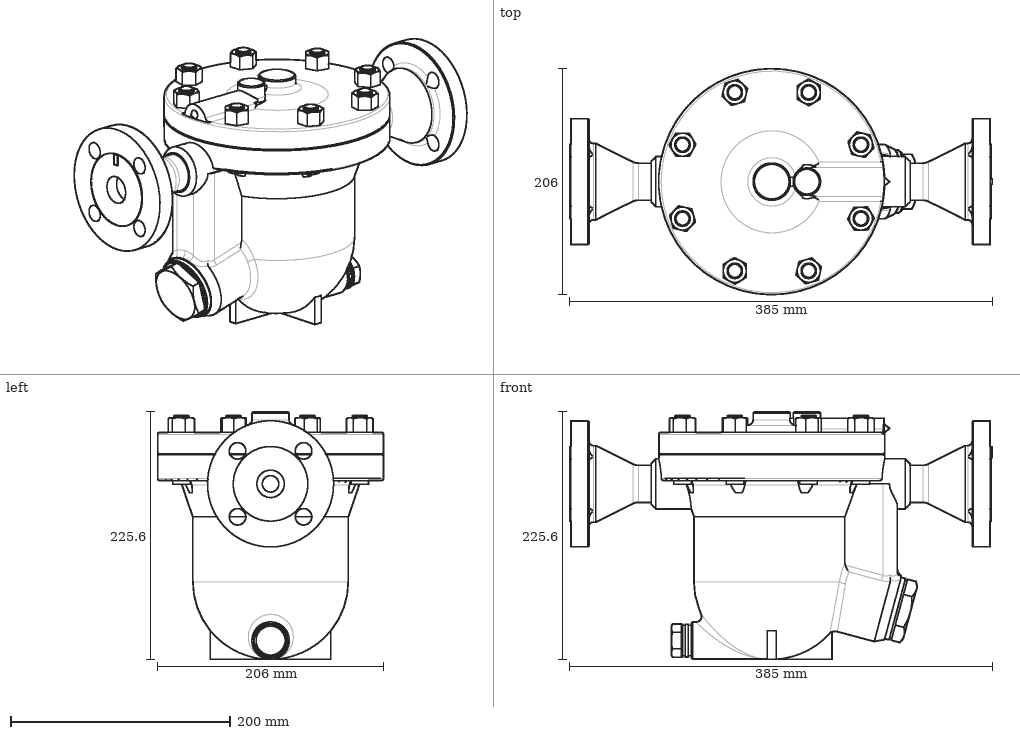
import cadquery as cq
import math


seam_tolerance = 0.001

cover_top_z = 47.0
joint_z = 27.0
flange_bottom_z = 3.0
body_bottom_z = -160.0
knob_top_z = 65.6

body_radius = 71.0
neck_radius = 81.0
neck_top_z = -1.0
neck_bottom_z = -30.0
neck_fillet = 4.0
dome_center_z = body_bottom_z + body_radius

flange_radius = 103.0
flange_edge_fillet = 2.0
gasket_radius = 102.0
gasket_thickness = 1.0

bolt_count = 8
bolt_circle_radius = 88.0
bolt_start_angle = 22.5
stud_radius = 7.0
stud_tail_radius = 8.0
stud_top_z = 62.6
stud_tail_z = -0.5
stud_chamfer = 1.0
nut_flats = 21.0
nut_height = 13.3
nut_turn = 24.0
spotface_radius = 10.0
spotface_bottom_z = -8.0

hill_base_radius = 46.5
hill_top_z = 53.5
knob_radius = 17.0
knob_fillet = 5.0
knob_chamfer = 1.2
plug_x = 32.0
plug_radius = 12.5
plug_fillet = 3.0
bridge_width = 8.0
bridge_top_z = 60.0
tube_radius = 14.0
tube_axis_z = 46.0
tube_fillet = 5.0
tube_end_x = 102.5
tip_radius = 4.0
tip_length = 5.0
tip_z = 50.5

port_mid_x = 8.0
face_to_face = 384.0
boss_radius = 23.0
boss_start = 50.0
boss_end = 118.0
boss_chamfer = 4.5
pipe_radius = 17.0
cone_start = 132.3
cone_blend = 2.7
cone_end = 168.3
hub_radius = 35.0
hub_fillet = 3.8
pipe_flange_radius = 57.5
pipe_flange_thickness = 16.5
pipe_flange_chamfer = 1.0
raised_face_radius = 34.0
raised_face_height = 1.0
pipe_bolt_circle = 85.0
pipe_bolt_hole = 15.0
pipe_bolt_clearance = 7.0
bore_radius = 12.5
bore_depth = 12.0
bore_taper = 8.0
seat_radius = 7.5
seat_depth = 40.0
mark_height = 10.0
mark_width = 5.0
mark_z = 29.0
mark_projection = 1.0

web_width = 49.0
web_end_x = 114.5
web_corner = 13.4
web_top_z = 0.0
web_bottom_z = -95.0
web_blend = 8.0

housing_tilt = 15.0
housing_end_x = 126.3
housing_end_z = -117.4
housing_radius = 34.0
housing_nose_radius = 30.0
housing_blend = 7.0
plug_hex_flats = 50.0
plug_hex_height = 10.3
plug_hex_face_radius = 24.75
plug_collar_radius = 29.0
plug_groove_radius = 27.5
plug_groove_depth = 12.3
nose_depth = 16.4
taper_depth = 25.0
housing_length = 110.0

drain_radius = 17.0
drain_z = -142.8
drain_boss_x = -72.0
drain_chamfer = 1.5
drain_inner_x = -5.0
drain_blend = 5.0
drain_neck_radius = 14.0
drain_collar_radius = 15.0
drain_collar_start_x = -79.0
drain_collar_end_x = -76.2
drain_washer_start_x = -81.0
drain_washer_end_x = -82.5
drain_hex_end_x = -91.5
drain_hex_flats = 26.5

foot_reach = 55.0
foot_thickness = 8.0
foot_top_z = -133.0


def disc(radius, z_low, z_high, x=0.0, y=0.0):
    return cq.Workplane("XY", origin=(x, y, z_low)).circle(radius).extrude(z_high - z_low)


def hexagon(plane, flats, length, end_radius):
    """Hexagonal prism whose far end is chamfered at 30 degrees from a circle."""
    corner = flats / math.sqrt(3)
    prism = cq.Workplane(plane).polygon(6, 2 * corner).extrude(length)
    drop = (corner - end_radius) * math.tan(math.radians(30))
    envelope = (
        cq.Workplane(plane)
        .circle(corner)
        .extrude(length)
        .faces(cq.selectors.DirectionMinMaxSelector(plane.zDir))
        .edges()
        .chamfer(drop, corner - end_radius)
    )
    return prism.intersect(envelope)


def revolve_about_z(points):
    """Revolve a closed (radius, height) outline about the local vertical axis."""
    return cq.Workplane("XZ").polyline(points).close().revolve(360, (0, 0, 0), (0, 1, 0))


def make_shell():
    """Dome, straight wall and conical neck, reaching up inside the body flange."""
    dome_mid = body_radius * math.sqrt(0.5)
    profile = (
        cq.Workplane("XZ")
        .moveTo(0, body_bottom_z)
        .threePointArc((dome_mid, dome_center_z - dome_mid), (body_radius, dome_center_z))
        .lineTo(body_radius, neck_bottom_z)
        .lineTo(neck_radius, neck_top_z)
        .threePointArc(
            (neck_radius + neck_fillet * 0.35, neck_top_z + neck_fillet * 0.65),
            (neck_radius + neck_fillet, flange_bottom_z),
        )
        .lineTo(neck_radius + neck_fillet, joint_z)
        .lineTo(0, joint_z)
        .close()
    )
    return profile.revolve(360, (0, 0, 0), (0, 1, 0))


def housing_plane():
    """Plane at the outer end of the housing plug, normal along the housing axis."""
    tilt = math.radians(housing_tilt)
    return cq.Plane(
        origin=(housing_end_x, 0, housing_end_z),
        xDir=(math.sin(tilt), 0, math.cos(tilt)),
        normal=(math.cos(tilt), 0, -math.sin(tilt)),
    )


def place_on_housing(part):
    return cq.Workplane(part.val().moved(cq.Location(housing_plane())))


def make_housing():
    outline = [
        (0, -housing_length),
        (housing_radius, -housing_length),
        (housing_radius, -taper_depth),
        (housing_nose_radius, -nose_depth),
        (0, -nose_depth),
    ]
    return place_on_housing(revolve_about_z(outline))


def make_housing_plug():
    groove = disc(plug_groove_radius, -plug_groove_depth, -plug_hex_height)
    collar = disc(plug_collar_radius, -nose_depth, -plug_groove_depth)
    hex_plane = cq.Plane(origin=(0, 0, -plug_hex_height))
    head = hexagon(hex_plane, plug_hex_flats, plug_hex_height, plug_hex_face_radius)
    return place_on_housing(groove.union(collar).union(head))


def make_web():
    """Upright outlet passage with rounded outer corners, on the +X side only."""
    height = web_top_z - web_bottom_z
    return (
        cq.Workplane("XY", origin=(0, 0, web_bottom_z))
        .rect(2 * web_end_x, web_width)
        .extrude(height)
        .edges("|Z and >X")
        .fillet(web_corner)
        .intersect(cq.Workplane("XY").box(400, 400, 400).translate((200, 0, 0)))
    )


def make_drain_boss():
    return (
        cq.Workplane("YZ", origin=(drain_boss_x - drain_chamfer, 0, drain_z))
        .circle(drain_radius)
        .extrude(drain_inner_x - drain_boss_x + drain_chamfer)
        .faces("<X")
        .chamfer(drain_chamfer)
    )


def blended_union(first, second, radius, below_z):
    """Join two solids and fillet the edges below a height that lie on the surface of both."""
    joined = first.union(second)
    skins = [part.val().Shells()[0] for part in (first, second)]

    def is_seam(edge):
        if edge.Center().z > below_z:
            return False
        samples = [cq.Vertex.makeVertex(*edge.positionAt(t).toTuple()) for t in (0.3, 0.7)]
        return all(skin.distance(point) < seam_tolerance for skin in skins for point in samples)

    seam = [edge for edge in joined.edges().vals() if is_seam(edge)]
    return joined.newObject(seam).fillet(radius)


def make_feet():
    """Upright ribs under the dome on the -Y, +Y and +X sides."""
    height = foot_top_z - body_bottom_z
    middle_z = (foot_top_z + body_bottom_z) / 2
    cross_rib = cq.Workplane("XY").box(foot_thickness, 2 * foot_reach, height)
    side_rib = cq.Workplane("XY").box(foot_reach, foot_thickness, height).translate((foot_reach / 2, 0, 0))
    return cross_rib.union(side_rib).translate((0, 0, middle_z))


def make_drain_plug():
    def turned(radius, x_start, x_end):
        return cq.Workplane("YZ", origin=(x_start, 0, drain_z)).circle(radius).extrude(x_end - x_start)

    neck = turned(drain_neck_radius, drain_washer_end_x, drain_boss_x)
    collar = turned(drain_collar_radius, drain_collar_start_x, drain_collar_end_x)
    washer = turned(drain_collar_radius, drain_washer_end_x, drain_washer_start_x)
    hex_plane = cq.Plane(origin=(drain_washer_end_x, 0, drain_z), xDir=(0, 0, 1), normal=(-1, 0, 0))
    hex_height = drain_washer_end_x - drain_hex_end_x
    head = hexagon(hex_plane, drain_hex_flats, hex_height, drain_hex_flats / 2)
    return neck.union(collar).union(washer).union(head)


def make_body():
    body = blended_union(make_shell(), make_housing(), housing_blend, neck_bottom_z)
    body = blended_union(body, make_drain_boss(), drain_blend, dome_center_z)
    for _, x, y in bolt_positions():
        body = body.cut(disc(spotface_radius, spotface_bottom_z, flange_bottom_z, x, y))
    outlet = blended_union(make_housing(), make_web(), web_blend, web_top_z)
    body = body.union(outlet)
    return body.union(make_feet()).union(make_housing_plug()).union(make_drain_plug())


def make_flanges():
    """Cover and body flange with the thin gasket between them."""
    half_gap = gasket_thickness / 2
    lower = disc(flange_radius, flange_bottom_z, joint_z - half_gap)
    lower = lower.faces("<Z").edges().fillet(flange_edge_fillet)
    gasket = disc(gasket_radius, joint_z - half_gap, joint_z + half_gap)
    upper = disc(flange_radius, joint_z + half_gap, cover_top_z)
    upper = upper.faces(">Z").edges().fillet(flange_edge_fillet)
    return lower.union(gasket).union(upper)


def make_knob(radius, fillet, foot_z):
    """Chamfered round knob with a concave fillet at its foot, standing on the cover."""
    arc_offset = fillet * (1 - math.sqrt(0.5))
    profile = (
        cq.Workplane("XZ")
        .moveTo(0, joint_z)
        .lineTo(radius + fillet, joint_z)
        .lineTo(radius + fillet, foot_z)
        .threePointArc((radius + arc_offset, foot_z + arc_offset), (radius, foot_z + fillet))
        .lineTo(radius, knob_top_z - knob_chamfer)
        .lineTo(radius - knob_chamfer, knob_top_z)
        .lineTo(0, knob_top_z)
        .close()
    )
    return profile.revolve(360, (0, 0, 0), (0, 1, 0))


def make_cover_knobs():
    """Shallow cone with its centre knob, and the smaller vent plug bridged to it."""
    hill_top_radius = knob_radius + knob_fillet
    hill_slope = (hill_top_z - cover_top_z) / (hill_base_radius - hill_top_radius)
    plug_foot_z = cover_top_z + (hill_base_radius - plug_x) * hill_slope
    hill = revolve_about_z(
        [
            (0, joint_z),
            (hill_base_radius, joint_z),
            (hill_base_radius, cover_top_z),
            (hill_top_radius, hill_top_z),
            (0, hill_top_z),
        ]
    )
    knob = make_knob(knob_radius, knob_fillet, hill_top_z)
    plug = make_knob(plug_radius, plug_fillet, plug_foot_z).translate((plug_x, 0, 0))
    bridge_height = bridge_top_z - cover_top_z
    bridge = cq.Workplane("XY").box(plug_x, bridge_width, bridge_height)
    bridge = bridge.translate((plug_x / 2, 0, cover_top_z + bridge_height / 2))
    return hill.union(knob).union(plug).union(bridge)


def make_tube():
    """Round ridge along +X with concave fillets running down to the cover."""
    fillet_center_z = cover_top_z + tube_fillet
    rise = fillet_center_z - tube_axis_z
    foot_y = math.sqrt((tube_radius + tube_fillet) ** 2 - rise**2)
    share = tube_radius / (tube_radius + tube_fillet)
    touch_y = foot_y * share
    touch_z = tube_axis_z + rise * share
    mid_angle = (math.pi + math.atan2(rise, foot_y) + 1.5 * math.pi) / 2
    mid_y = foot_y + tube_fillet * math.cos(mid_angle)
    mid_z = fillet_center_z + tube_fillet * math.sin(mid_angle)
    section = (
        cq.Workplane("YZ", origin=(plug_x, 0, 0))
        .moveTo(-foot_y, cover_top_z)
        .threePointArc((-mid_y, mid_z), (-touch_y, touch_z))
        .threePointArc((0, tube_axis_z + tube_radius), (touch_y, touch_z))
        .threePointArc((mid_y, mid_z), (foot_y, cover_top_z))
        .lineTo(foot_y, cover_top_z - tube_fillet)
        .lineTo(-foot_y, cover_top_z - tube_fillet)
        .close()
    )
    ridge = section.extrude(flange_radius).intersect(disc(tube_end_x, 0, knob_top_z))
    tip = cq.Workplane(
        cq.Solid.makeCone(
            tip_radius, 0, tip_length, cq.Vector(tube_end_x, 0, tip_z), cq.Vector(1, 0, 0)
        )
    )
    tip_root = cq.Workplane("YZ", origin=(plug_x, 0, tip_z)).circle(tip_radius).extrude(tube_end_x - plug_x)
    return ridge.union(tip_root).union(tip)


def bolt_positions():
    for index in range(bolt_count):
        angle = bolt_start_angle + index * 360 / bolt_count
        yield (
            angle,
            bolt_circle_radius * math.cos(math.radians(angle)),
            bolt_circle_radius * math.sin(math.radians(angle)),
        )


def make_bolt(angle, x, y):
    stud = disc(stud_radius, cover_top_z, stud_top_z, x, y).faces(">Z").edges().chamfer(stud_chamfer)
    tail = disc(stud_tail_radius, stud_tail_z, joint_z, x, y)
    nut_plane = cq.Plane(origin=(0, 0, cover_top_z))
    nut = hexagon(nut_plane, nut_flats, nut_height, nut_flats / 2)
    nut = nut.rotate((0, 0, 0), (0, 0, 1), angle + nut_turn).translate((x, y, 0))
    return stud.union(tail).union(nut)


def make_port():
    """Boss, pipe, reducer cone and drilled flange of the +X pipe connection."""
    face = face_to_face / 2
    flange_outer = face - raised_face_height
    flange_inner = flange_outer - pipe_flange_thickness
    rim = pipe_flange_radius - pipe_flange_chamfer
    cone_angle = math.atan2(hub_radius - pipe_radius, cone_end - cone_start)
    blend_sag = cone_blend * math.tan(cone_angle / 2) / 2
    arc_offset = hub_fillet * (1 - math.sqrt(0.5))
    outline = (
        cq.Workplane("XZ")
        .moveTo(0, boss_start)
        .lineTo(boss_radius, boss_start)
        .lineTo(boss_radius, boss_end - boss_chamfer)
        .lineTo(boss_radius - boss_chamfer, boss_end)
        .lineTo(pipe_radius, boss_end)
        .lineTo(pipe_radius, cone_start - cone_blend)
        .threePointArc(
            (
                pipe_radius + blend_sag * math.cos(cone_angle / 2),
                cone_start - blend_sag * math.sin(cone_angle / 2),
            ),
            (
                pipe_radius + cone_blend * math.sin(cone_angle),
                cone_start + cone_blend * math.cos(cone_angle),
            ),
        )
        .lineTo(hub_radius, cone_end)
        .lineTo(hub_radius, flange_inner - hub_fillet)
        .threePointArc(
            (hub_radius + arc_offset, flange_inner - arc_offset),
            (hub_radius + hub_fillet, flange_inner),
        )
        .lineTo(rim, flange_inner)
        .lineTo(pipe_flange_radius, flange_inner + pipe_flange_chamfer)
        .lineTo(pipe_flange_radius, flange_outer)
        .lineTo(raised_face_radius, flange_outer)
        .lineTo(raised_face_radius, face)
        .lineTo(bore_radius, face)
        .lineTo(bore_radius, face - bore_depth)
        .lineTo(seat_radius, face - bore_depth - bore_taper)
        .lineTo(seat_radius, face - seat_depth)
        .lineTo(0, face - seat_depth)
        .close()
    )
    port = outline.revolve(360, (0, 0, 0), (0, 1, 0))
    holes = (
        cq.Workplane("XY", origin=(0, 0, flange_inner - pipe_bolt_clearance))
        .polarArray(pipe_bolt_circle / 2, 45, 360, 4)
        .circle(pipe_bolt_hole / 2)
        .extrude(face)
    )
    return port.cut(holes).rotate((0, 0, 0), (0, 1, 0), 90)


def make_face_mark():
    """Thin raised pad on the outlet flange face."""
    outer_x = face_to_face / 2 + mark_projection
    return cq.Workplane("XY").box(
        2 * mark_projection + raised_face_height, mark_width, mark_height
    ).translate((outer_x - mark_projection - raised_face_height / 2, 0, mark_z))


def add_ports(body):
    outlet = make_port().union(make_face_mark())
    inlet = make_port().rotate((0, 0, 0), (0, 0, 1), 180)
    for port in (outlet, inlet):
        body = body.union(port.translate((port_mid_x, 0, 0)))
    return body


def make_upper_part():
    """Flanges, cover details, pipe connections and bolting."""
    upper = make_flanges().union(make_tube()).union(make_cover_knobs())
    for angle, x, y in bolt_positions():
        upper = upper.union(make_bolt(angle, x, y))
    return add_ports(upper)


result = make_upper_part().union(make_body())